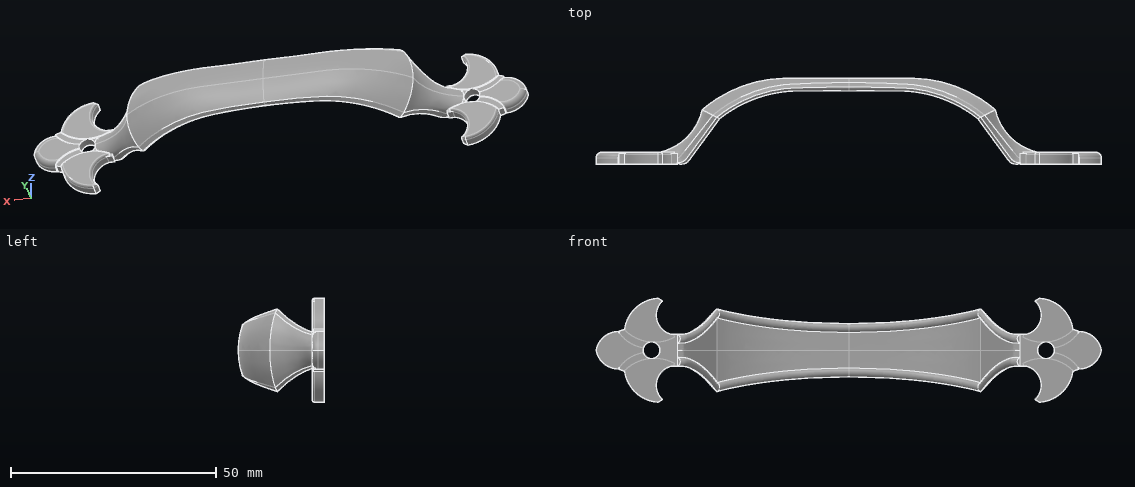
import cadquery as cq
import math


half_length = 61.5
half_height = 25.38 / 2
grip_front = 21.0
grip_thickness = 3.15
grip_back = grip_front - grip_thickness

hole_spacing = 96.0
hole_diameter = 4.0
plate_thickness = 3.0
web_thickness = 2.6
centre_leaf_round = 1.4
side_leaf_round = 0.6
neck_half_width = 3.9
neck_end = 41.7

grip_back_flat = 12.0
grip_front_flat = 15.0
shoulder_back = (-31.4, 11.1)
shoulder_front = (-35.7, 13.3)
leg_front_mid = (-39.4, 6.6)
foot_front = (-46.0, plate_thickness)
leg_back_end = (-38.8, 1.0)
foot_back = (-41.0, 0.0)

middle_half_width = 6.5
shoulder_half_width = 10.1
middle_side_height = 2.1
shoulder_side_height = 1.9
foot_side_height = 2.4
middle_side_inset = 0.2
shoulder_side_inset = 1.0
foot_side_inset = 0.3
bead_width = 2.2
middle_bead_height = 1.0
shoulder_bead_height = 0.8
stations = 16


def blend(start, end, t):
    return start + (end - start) * t


def concave_width(narrow, wide, t):
    """Half-width flaring from narrow (t = 0) to wide (t = 1) along a parabola."""
    return blend(narrow, wide, t * t)


def flat_then_arc(level, flat_end, arc_end):
    """Path along y = level from x = 0 to -flat_end, then a tangent arc down to arc_end."""
    run = -arc_end[0] - flat_end
    drop = level - arc_end[1]
    radius = (run ** 2 + drop ** 2) / (2 * drop)
    half_angle = math.asin(run / radius) / 2
    arc_mid = (-flat_end - radius * math.sin(half_angle), level - radius * (1 - math.cos(half_angle)))
    path = cq.Workplane("XY").moveTo(0, level).lineTo(-flat_end, level)
    return path.threePointArc(arc_mid, arc_end).wire().val()


def section(back, front, half_width, side_height, side_inset, bead_height):
    """Cross-section with a raised bead along each back edge, sides that lean in, and a crowned front."""
    depth = (front - back).Length
    plane = cq.Plane(origin=back, xDir=front - back, normal=(front - back).cross(cq.Vector(0, 0, 1)))
    floor_edge = half_width - bead_width
    bead_top = half_width - bead_width / 2
    crown_width = half_width - side_inset
    crown_rise = depth - side_height
    crown_radius = (crown_rise ** 2 + crown_width ** 2) / (2 * crown_rise)
    crown_angle = math.asin(crown_width / crown_radius) / 2
    crown_mid = depth - crown_radius * (1 - math.cos(crown_angle))
    crown_mid_width = crown_radius * math.sin(crown_angle)
    return (
        cq.Workplane(plane)
        .moveTo(bead_height, -floor_edge)
        .lineTo(bead_height, 0)
        .lineTo(bead_height, floor_edge)
        .threePointArc((0, bead_top), (bead_height, half_width))
        .lineTo(side_height, crown_width)
        .threePointArc((crown_mid, crown_mid_width), (depth, 0))
        .threePointArc((crown_mid, -crown_mid_width), (side_height, -crown_width))
        .lineTo(bead_height, -half_width)
        .threePointArc((0, -bead_top), (bead_height, -floor_edge))
        .close()
        .val()
    )


def make_grip():
    """Half of the grip, from the middle of the pull to the shoulder."""
    back_path = flat_then_arc(grip_back, grip_back_flat, shoulder_back)
    front_path = flat_then_arc(grip_front, grip_front_flat, shoulder_front)
    sections = []
    for i in range(stations + 1):
        t = i / stations
        sections.append(section(
            back_path.positionAt(t),
            front_path.positionAt(t),
            concave_width(middle_half_width, shoulder_half_width, t),
            blend(middle_side_height, shoulder_side_height, t),
            blend(middle_side_inset, shoulder_side_inset, t),
            blend(middle_bead_height, shoulder_bead_height, t),
        ))
    return cq.Workplane(cq.Solid.makeLoft(sections))


def make_leg():
    """Leg from the shoulder down to the foot on the mounting plate."""
    back_path = (
        cq.Workplane("XY").moveTo(*shoulder_back).lineTo(*leg_back_end)
        .tangentArcPoint(foot_back, relative=False).wire().val()
    )
    front_path = (
        cq.Workplane("XY").moveTo(*shoulder_front)
        .threePointArc(leg_front_mid, foot_front).wire().val()
    )
    sections = []
    for i in range(stations + 1):
        t = i / stations
        sections.append(section(
            back_path.positionAt(t),
            front_path.positionAt(t),
            concave_width(neck_half_width, shoulder_half_width, 1 - t),
            blend(shoulder_side_height, foot_side_height, t),
            blend(shoulder_side_inset, foot_side_inset, t),
            shoulder_bead_height,
        ))
    return cq.Workplane(cq.Solid.makeLoft(sections))


leaf_tip = (-half_length, 0)
leaf_rim_mid = (-59.8, 3.1)
leaf_shoulder = (-56.1, 4.6)
leaf_valley_mid = (-54.0, 2.3)
leaf_root = (-49.0, 0.5)
side_leaf_heel = (-54.6, 5.0)
side_leaf_back_mid = (-51.9, 10.3)
side_leaf_top = (-46.4, half_height)
side_leaf_point = (-45.3, 12.0)
side_leaf_hollow_mid = (-46.4, 6.6)
side_leaf_neck = (-42.6, 3.8)
side_leaf_corner = (-42.4, 3.2)
side_leaf_valley_mid = (-48.4, 2.0)

web_in_centre_leaf = (-55.9, 4.68)
web_in_side_leaf = (-53.5, 5.5)
web_neck_start = -44.5


def mirrored(point):
    return (point[0], -point[1])


def extrude_forward(outline, thickness):
    """Close an XZ outline and extrude it from the mounting face towards +Y (XZ sketches face -Y)."""
    return outline.close().extrude(-thickness)


def make_centre_leaf():
    """Pointed leaf at the end of the plate, with its outer rim rounded."""
    outline = (
        cq.Workplane("XZ").moveTo(*leaf_root)
        .threePointArc(leaf_valley_mid, leaf_shoulder)
        .threePointArc(leaf_rim_mid, leaf_tip)
        .threePointArc(mirrored(leaf_rim_mid), mirrored(leaf_shoulder))
        .threePointArc(mirrored(leaf_valley_mid), mirrored(leaf_root))
    )
    leaf = extrude_forward(outline, plate_thickness)
    outer_rim = cq.selectors.BoxSelector(
        (-half_length, 0, -half_height), (leaf_shoulder[0], 2 * plate_thickness, half_height))
    return leaf.faces(">Y").edges(outer_rim).fillet(centre_leaf_round)


def make_side_leaf():
    """Curled leaf above the hole, rounded along its front rim except beside the valley."""
    outline = (
        cq.Workplane("XZ").moveTo(*side_leaf_heel)
        .threePointArc(side_leaf_back_mid, side_leaf_top)
        .lineTo(*side_leaf_point)
        .threePointArc(side_leaf_hollow_mid, side_leaf_neck)
        .lineTo(*side_leaf_corner)
        .threePointArc(side_leaf_valley_mid, side_leaf_heel)
    )
    leaf = extrude_forward(outline, plate_thickness)
    above_neck = cq.selectors.BoxSelector(
        (-half_length, 0, neck_half_width), (-neck_end, 2 * plate_thickness, half_height))
    return leaf.faces(">Y").edges(above_neck).fillet(side_leaf_round)


def make_web():
    """Thin web that joins the leaves; its corners lie inside the leaves it meets."""
    upper = [
        web_in_centre_leaf,
        web_in_side_leaf,
        (web_neck_start, neck_half_width),
        (-neck_end, neck_half_width),
    ]
    lower = [mirrored(point) for point in reversed(upper)]
    return extrude_forward(cq.Workplane("XZ").polyline(upper + lower), web_thickness)


def make_hole():
    """Screw hole through the plate."""
    return (
        cq.Workplane("XZ").center(-hole_spacing / 2, 0)
        .circle(hole_diameter / 2).extrude(-2 * plate_thickness)
    )


def make_plate():
    """Three leaves standing slightly proud of the web between them, face to face with it."""
    web = make_web()
    side_leaf = make_side_leaf()
    leaves = [make_centre_leaf(), side_leaf, side_leaf.mirror("XY")]
    for leaf in leaves:
        web = web.cut(leaf)
    plate = web
    for leaf in leaves:
        plate = plate.union(leaf, clean=False)
    return plate


half = make_grip().union(make_leg(), clean=False).union(make_plate(), clean=False)
half = half.cut(make_hole(), clean=False)
result = half.union(half.mirror("YZ"), clean=False)